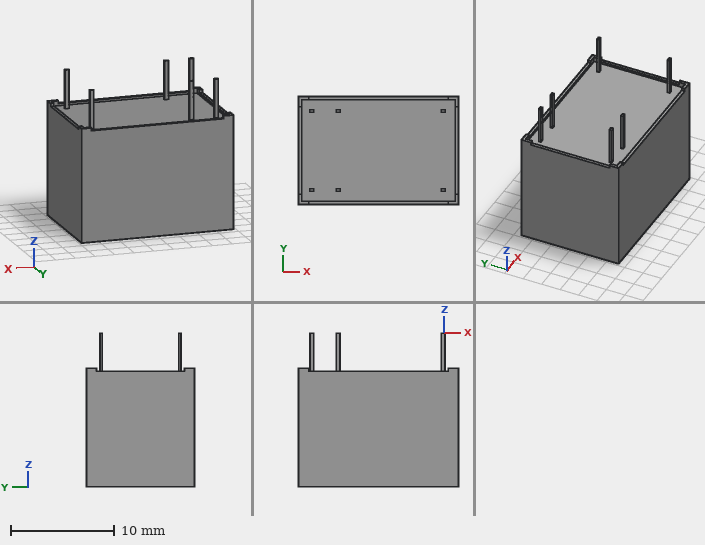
import cadquery as cq

case_length = 15.5
case_width = 10.5
case_height = 11.5
wall_thickness = 0.33
recess_depth = 0.5

foot_length = 1.0
foot_height = 0.28

overall_height = 14.9
pin_pitch = 2.54
pin_columns = (0, 1, 5)
row_spacing = 3 * pin_pitch
first_pin_inset = 1.3
pin_width = 0.4
pin_thickness = 0.23

floor_z = case_height - recess_depth
rim_z = case_height - foot_height


def block(length, width, bottom_z, top_z):
    """Box centred on the Z axis between two heights."""
    base = cq.Workplane("XY").workplane(offset=bottom_z)
    return base.rect(length, width).extrude(top_z - bottom_z)


def make_case():
    """Closed block with a shallow recess on top and a rim lowered between the corner feet."""
    case = block(case_length, case_width, 0, case_height)
    recess = block(case_length - 2 * wall_thickness, case_width - 2 * wall_thickness, floor_z, case_height)
    long_side_gap = block(case_length - 2 * foot_length, case_width, rim_z, case_height)
    short_side_gap = block(case_length, case_width - 2 * foot_length, rim_z, case_height)
    return case.cut(recess).cut(long_side_gap).cut(short_side_gap)


def make_pins():
    """Rectangular pins standing on the recess floor."""
    first_pin_x = first_pin_inset - case_length / 2
    centres = [
        (first_pin_x + column * pin_pitch, side * row_spacing / 2)
        for column in pin_columns
        for side in (-1, 1)
    ]
    base = cq.Workplane("XY").workplane(offset=floor_z)
    return base.pushPoints(centres).rect(pin_width, pin_thickness).extrude(overall_height - floor_z)


result = make_case().union(make_pins())